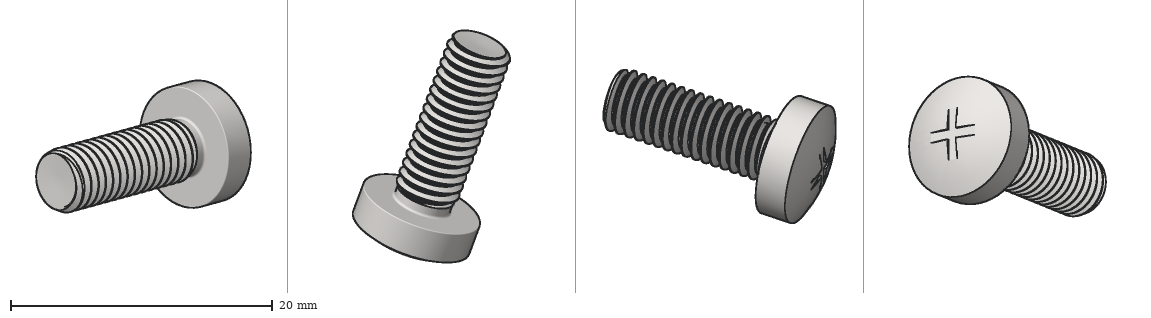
import cadquery as cq
import math


head_diameter = 9.5
rim_height = 2.5
head_height = 3.676
bearing_edge_fillet = 0.08

slot_width = 0.8
slot_floor_height = 3.47

major_diameter = 5.0
pitch = 0.8
shank_length = 14.0
thread_depth = 0.6134 * pitch
flank_slope = math.tan(math.radians(30))
ridge_overlap = 0.03
envelope_clearance = 0.2
end_taper_slope = math.tan(math.radians(30))

dimple_diameter = 4.1
dimple_depth = 0.1

neck_diameter = major_diameter - 0.6495 * pitch
neck_length = 0.83
neck_fillet = 0.2

head_radius = head_diameter / 2
major_radius = major_diameter / 2
neck_radius = neck_diameter / 2
root_radius = major_radius - thread_depth


def make_head():
    """Cylindrical rim closed by a spherical dome."""
    dome_rise = head_height - rim_height
    dome_radius = (head_radius**2 + dome_rise**2) / (2 * dome_rise)
    half_angle = math.asin(head_radius / dome_radius) / 2
    dome_midpoint = (
        dome_radius * math.sin(half_angle),
        head_height - dome_radius * (1 - math.cos(half_angle)),
    )
    profile = (
        cq.Workplane("XZ")
        .lineTo(head_radius, 0)
        .lineTo(head_radius, rim_height)
        .threePointArc(dome_midpoint, (0, head_height))
        .close()
    )
    head = profile.revolve(360, (0, 0, 0), (0, 1, 0))
    return head.faces("<Z").edges().fillet(bearing_edge_fillet)


def cut_cross_slots(head):
    """Cut two perpendicular slots across the crown of the dome."""
    for length_x, length_y in ((head_diameter, slot_width), (slot_width, head_diameter)):
        slot = (
            cq.Workplane("XY")
            .workplane(offset=slot_floor_height)
            .rect(length_x, length_y)
            .extrude(head_height - slot_floor_height)
        )
        head = head.cut(slot)
    return head


def make_neck():
    """Plain neck with a concave fillet into the bearing face of the head."""
    foot_radius = neck_radius + neck_fillet
    arc_inset = neck_fillet * (1 - math.sqrt(0.5))
    profile = (
        cq.Workplane("XZ")
        .lineTo(foot_radius, 0)
        .threePointArc((neck_radius + arc_inset, -arc_inset), (neck_radius, -neck_fillet))
        .lineTo(neck_radius, -neck_length)
        .lineTo(0, -neck_length)
        .close()
    )
    return profile.revolve(360, (0, 0, 0), (0, 1, 0))


def make_thread_core():
    """Root-diameter rod over the threaded length."""
    return (
        cq.Workplane("XY")
        .workplane(offset=-shank_length)
        .circle(root_radius)
        .extrude(shank_length - neck_length)
    )


def make_thread_ridge():
    """Right-hand helical ridge, sunk into the core and overrunning both thread ends."""
    crest_half_width = pitch / 16
    base_radius = root_radius - ridge_overlap
    base_half_width = crest_half_width + (major_radius - base_radius) * flank_slope

    ridge_start = -shank_length - pitch / 2
    ridge_length = shank_length - neck_length + 2 * pitch
    helix = cq.Wire.makeHelix(pitch, ridge_length, major_radius)
    section = (
        cq.Workplane("XZ")
        .moveTo(base_radius, -base_half_width)
        .lineTo(major_radius, -crest_half_width)
        .lineTo(major_radius, crest_half_width)
        .lineTo(base_radius, base_half_width)
        .close()
    )
    ridge = section.sweep(cq.Workplane(obj=helix), isFrenet=True)
    return ridge.translate((0, 0, ridge_start))


def make_taper_envelope():
    """Body that narrows to the neck radius at both thread ends and clears the crests between."""
    envelope_radius = major_radius + envelope_clearance
    taper_length = (envelope_radius - neck_radius) / end_taper_slope
    profile = (
        cq.Workplane("XZ")
        .moveTo(0, -neck_length)
        .lineTo(neck_radius, -neck_length)
        .lineTo(envelope_radius, -neck_length - taper_length)
        .lineTo(envelope_radius, -shank_length + taper_length)
        .lineTo(neck_radius, -shank_length)
        .lineTo(0, -shank_length)
        .close()
    )
    return profile.revolve(360, (0, 0, 0), (0, 1, 0))


def make_tip_dimple():
    """Cone to be removed from the end face of the tip."""
    profile = (
        cq.Workplane("XZ")
        .moveTo(0, -shank_length)
        .lineTo(dimple_diameter / 2, -shank_length)
        .lineTo(0, -shank_length + dimple_depth)
        .close()
    )
    return profile.revolve(360, (0, 0, 0), (0, 1, 0))


tapered_ridge = make_thread_ridge().intersect(make_taper_envelope())
threaded_shank = make_thread_core().union(tapered_ridge).cut(make_tip_dimple())
screw = cut_cross_slots(make_head()).union(make_neck()).union(threaded_shank)
result = screw.rotate((0, 0, 0), (1, 0, 0), -90)